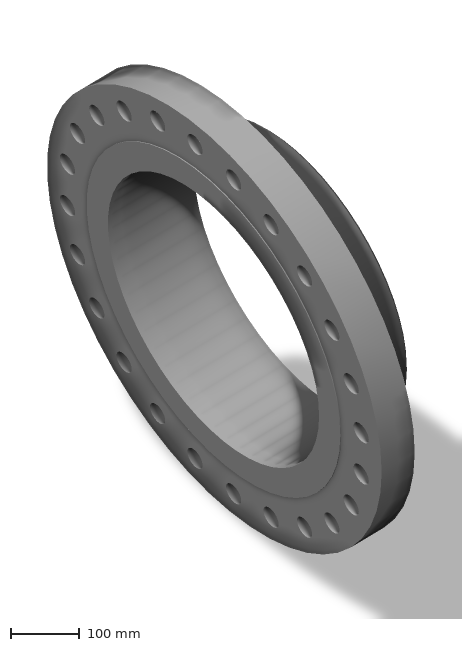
import cadquery as cq
import math

flange_diameter = 774.7
bore_diameter = 488.95
overall_length = 162.12

hub_base_diameter = 587.25
face_diameter = hub_base_diameter
face_height = 1.6

flange_back = 63.5

hub_end_diameter = 508.0

land_width = 2.5
bevel_angle = 37.5
bevel_width = (hub_end_diameter - bore_diameter) / 2 - land_width
bevel_length = bevel_width * math.tan(math.radians(bevel_angle))

bolt_count = 24
bolt_hole_diameter = 35.05
bolt_circle_diameter = 685.8
bolt_pitch_angle = 360 / bolt_count


def make_flange_body():
    """Revolve the half section (radius, Y) about the Y axis."""
    bore_radius = bore_diameter / 2
    profile = [
        (bore_radius, 0),
        (face_diameter / 2, 0),
        (face_diameter / 2, face_height),
        (flange_diameter / 2, face_height),
        (flange_diameter / 2, flange_back),
        (hub_base_diameter / 2, flange_back),
        (hub_end_diameter / 2, overall_length - bevel_length),
        (bore_radius + land_width, overall_length),
        (bore_radius, overall_length),
    ]
    section = cq.Workplane("XY").polyline(profile).close()
    return section.revolve(360, (0, 0, 0), (0, 1, 0))


def make_bolt_holes():
    """Cutters for the bolt circle, long enough to pass through the ring."""
    return (
        cq.Workplane("XZ")
        .polarArray(bolt_circle_diameter / 2, bolt_pitch_angle / 2, 360, bolt_count)
        .circle(bolt_hole_diameter / 2)
        .extrude(-flange_back)
    )


result = make_flange_body().cut(make_bolt_holes())